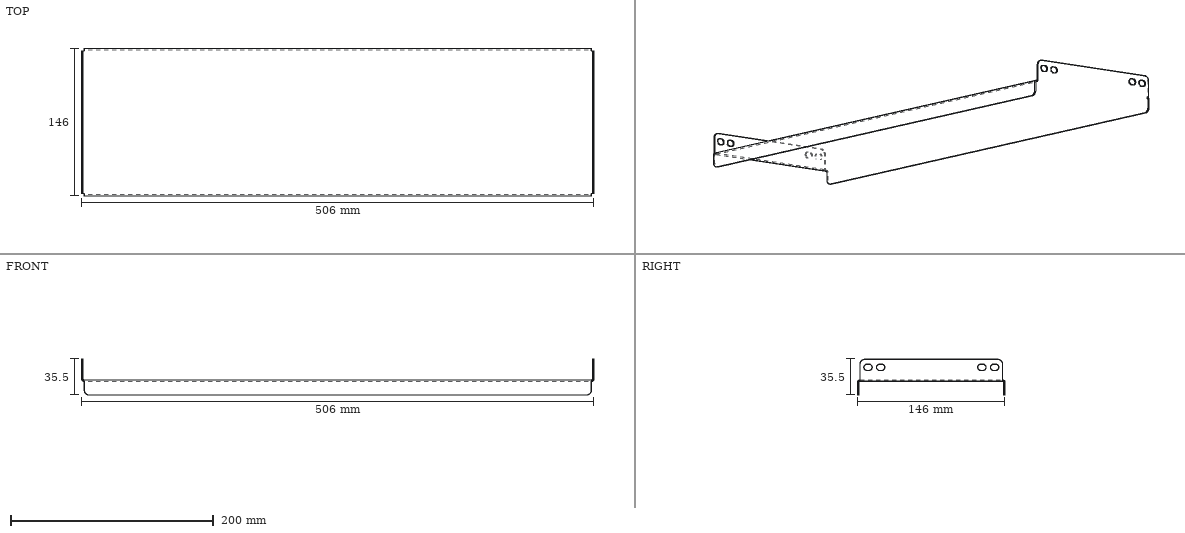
import cadquery as cq

length = 506.0
width = 146.0
sheet = 1.5
bend_inner_radius = 1.0
bend_outer_radius = bend_inner_radius + sheet

end_flange_rise = 20.5
side_flange_drop = 15.0
corner_radius = 5.0

slot_length = 8.0
slot_height = 6.0
slot_offsets = (50.0, 62.5)
slot_below_top = 8.0

flat_length = length - 2 * bend_outer_radius
flat_width = width - 2 * bend_outer_radius


def flange_profile(plane, reach, height):
    """Bent sheet section that leaves the flat plate and turns up to `height`.

    The sheet lies on z = 0 before the bend; `reach` is the position of the flange's outer face.
    """
    start = reach - bend_outer_radius
    inner_face = reach - sheet
    return (
        cq.Workplane(plane)
        .moveTo(start, 0)
        .radiusArc((reach, bend_outer_radius), -bend_outer_radius)
        .lineTo(reach, height)
        .lineTo(inner_face, height)
        .lineTo(inner_face, bend_outer_radius)
        .radiusArc((start, sheet), bend_inner_radius)
        .close()
    )


def end_flange():
    """Upturned flange at +X, with rounded upper corners and four slots."""
    flange = (
        flange_profile("XZ", length / 2, end_flange_rise + sheet)
        .extrude(flat_width / 2, both=True)
        .translate((0, 0, -sheet))
        .edges("|X and >Z")
        .fillet(corner_radius)
    )
    slot_points = [(side * offset, end_flange_rise - slot_below_top)
                   for side in (-1, 1) for offset in slot_offsets]
    cutter_depth = 3 * sheet
    slots = (
        cq.Workplane("YZ", origin=(length / 2 - 2 * sheet, 0, 0))
        .pushPoints(slot_points)
        .slot2D(slot_length, slot_height)
        .extrude(cutter_depth)
    )
    return flange.cut(slots)


def side_flange():
    """Downturned flange at +Y, with rounded lower corners."""
    return (
        flange_profile("YZ", width / 2, side_flange_drop)
        .extrude(flat_length / 2, both=True)
        .mirror("XY")
        .edges("|Y and <Z")
        .fillet(corner_radius)
    )


plate = cq.Workplane("XY").box(flat_length, flat_width, sheet, centered=(True, True, False))
plate = plate.translate((0, 0, -sheet))

end = end_flange()
side = side_flange()
result = plate.union(end).union(end.mirror("YZ")).union(side).union(side.mirror("XZ"))